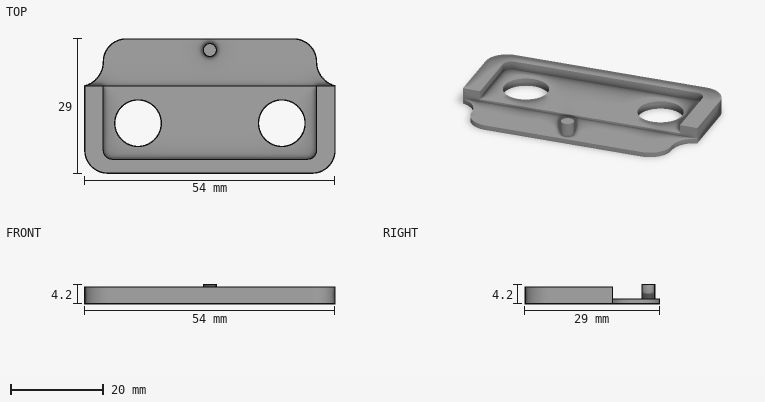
import cadquery as cq
import math

length = 54.0
depth = 29.0
frame_depth = 18.85
frame_height = 3.65
tab_thickness = 1.1
corner_radius = 4.95

side_wall = 4.0
front_wall = 3.0
pocket_radius = 2.0
floor_thickness = 1.75

hole_diameter = 10.0
hole_spacing = 31.0
hole_y = 10.8
pin_diameter = 2.8
pin_height = 4.2
pin_y = 26.55

half_length = length / 2
tab_half = half_length - side_wall


def make_frame():
    """U-shaped raised frame around the pocket, whose floor is a step above the tab."""
    block = (
        cq.Workplane("XY")
        .box(length, frame_depth, frame_height, centered=(True, False, False))
        .edges("|Z and <Y")
        .fillet(corner_radius)
    )
    pocket = (
        cq.Workplane("XY", origin=(0, front_wall, floor_thickness))
        .box(2 * tab_half, frame_depth, frame_height, centered=(True, False, False))
        .edges("|Z and <Y")
        .fillet(pocket_radius)
    )
    return block.cut(pocket)


def make_tab():
    """Thin rear tab, rounded at the back and flared out to the frame corners."""
    shoulder_y = depth - corner_radius
    flare_depth = shoulder_y - frame_depth
    flare_radius = (side_wall**2 + flare_depth**2) / (2 * side_wall)
    half_angle = math.asin(flare_depth / flare_radius) / 2
    flare_mid_x = tab_half + flare_radius * (1 - math.cos(half_angle))
    flare_mid_y = shoulder_y - flare_radius * math.sin(half_angle)
    tab_flat = tab_half - corner_radius
    return (
        cq.Workplane("XY")
        .moveTo(-half_length, frame_depth)
        .lineTo(half_length, frame_depth)
        .threePointArc((flare_mid_x, flare_mid_y), (tab_half, shoulder_y))
        .radiusArc((tab_flat, depth), -corner_radius)
        .lineTo(-tab_flat, depth)
        .radiusArc((-tab_half, shoulder_y), -corner_radius)
        .threePointArc((-flare_mid_x, flare_mid_y), (-half_length, frame_depth))
        .close()
        .extrude(tab_thickness)
    )


holes = (
    cq.Workplane("XY")
    .pushPoints([(side * hole_spacing / 2, hole_y) for side in (-1, 1)])
    .circle(hole_diameter / 2)
    .extrude(frame_height)
)
pin = cq.Workplane("XY").center(0, pin_y).circle(pin_diameter / 2).extrude(pin_height)

result = make_frame().union(make_tab()).cut(holes).union(pin)